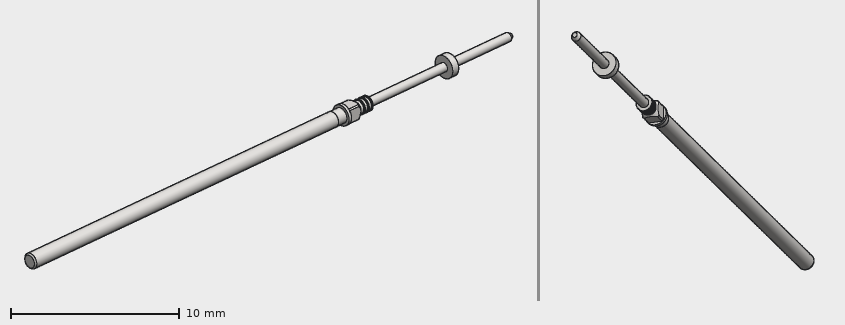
import cadquery as cq

OVERALL_LENGTH = 40.2
FLANGE_START = 5.1
FLANGE_THICKNESS = 0.5
NECK_START = 12.0
RIB_PITCH = 0.32
RIB_COUNT = 3
RIB_WIDTH = 0.08
SQUARE_START = 12.93
COLLAR_START = 13.98
COLLAR_THICKNESS = 0.22
SLEEVE_END = 14.9

PIN_DIAMETER = 0.6
FLANGE_DIAMETER = 1.5
RIB_DIAMETER = 1.0
NECK_DIAMETER = 0.86
SQUARE_ACROSS_FLATS = 1.02
SQUARE_CORNER_DIAMETER = 1.33
COLLAR_DIAMETER = 1.36
SLEEVE_DIAMETER = 1.0
BARREL_DIAMETER = 1.02

TIP_CHAMFER_LENGTH = 0.25
TIP_CHAMFER_DEPTH = 0.15
SQUARE_LEAD_IN = 0.26
END_CHAMFER = 0.1

TIP_Y = OVERALL_LENGTH / 2


def cylinder(start, length, diameter):
    """Round section on the Y axis, running toward -Y from the given station."""
    return (
        cq.Workplane("XZ", origin=(0, TIP_Y - start, 0))
        .circle(diameter / 2)
        .extrude(length)
    )


def make_pin():
    """Round pin with a tapered tip and a stop flange."""
    pin = (
        cylinder(0, NECK_START, PIN_DIAMETER)
        .faces(">Y")
        .chamfer(TIP_CHAMFER_LENGTH, TIP_CHAMFER_DEPTH)
    )
    flange = cylinder(FLANGE_START, FLANGE_THICKNESS, FLANGE_DIAMETER)
    return pin.union(flange)


def make_ribbed_neck():
    """Short neck carrying evenly spaced ribs."""
    neck = cylinder(NECK_START, SQUARE_START - NECK_START, NECK_DIAMETER)
    for index in range(RIB_COUNT):
        rib = cylinder(NECK_START + index * RIB_PITCH, RIB_WIDTH, RIB_DIAMETER)
        neck = neck.union(rib)
    return neck


def make_square_section():
    """Square with corners turned round and a conical lead-in at its +Y end."""
    length = COLLAR_START - SQUARE_START
    envelope = (
        cylinder(SQUARE_START, length, SQUARE_CORNER_DIAMETER)
        .faces(">Y")
        .chamfer(SQUARE_LEAD_IN)
    )
    square = (
        cq.Workplane("XZ", origin=(0, TIP_Y - SQUARE_START, 0))
        .rect(SQUARE_ACROSS_FLATS, SQUARE_ACROSS_FLATS)
        .extrude(length)
    )
    return square.intersect(envelope)


def make_barrel():
    """Collar, slightly narrower sleeve and long barrel with a chamfered -Y end."""
    sleeve_start = COLLAR_START + COLLAR_THICKNESS
    collar = cylinder(COLLAR_START, COLLAR_THICKNESS, COLLAR_DIAMETER)
    sleeve = cylinder(sleeve_start, SLEEVE_END - sleeve_start, SLEEVE_DIAMETER)
    barrel = (
        cylinder(SLEEVE_END, OVERALL_LENGTH - SLEEVE_END, BARREL_DIAMETER)
        .faces("<Y")
        .chamfer(END_CHAMFER)
    )
    return collar.union(sleeve).union(barrel)


result = make_pin().union(make_ribbed_neck()).union(make_square_section()).union(make_barrel())